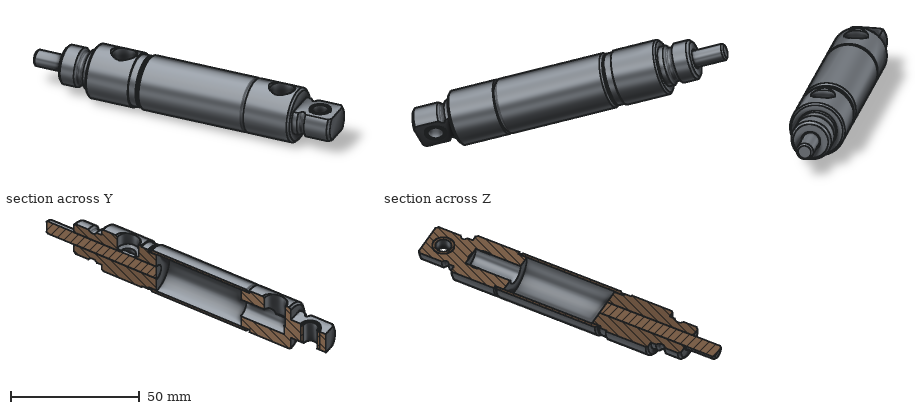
import cadquery as cq
OVERALL_LENGTH = 127.8
BODY_DIAMETER = 21.9
BODY_RADIUS = BODY_DIAMETER / 2

ROD_RADIUS = 3.3
ROD_CHAMFER = 0.8

NECK_RADIUS = 7.9
NECK_CHAMFER = 1.0
GROOVE_DEPTH = 1.2
GROOVE_WALL_RUN = 1.0
GROOVE_FLOOR_FILLET = 0.8
SPIGOT_LENGTH = 3.8

NECK_START = 12.5
NECK_GROOVE_CENTER = 21.2
NECK_GROOVE_WIDTH = 3.8
ROD_COUNTERSINK = 0.5
HEAD_START = 25.3
HEAD_CHAMFER = 0.8
LAND_START = 43.6
LAND_RADIUS = 10.4
HEAD_END = 46.7

TUBE_BORE_RADIUS = 9.5
LIP_FACE_RADIUS = 9.6
LIP_STEP_RADIUS = 10.1
LIP_STEP_LENGTH = 0.6
LIP_LAND_LENGTH = 0.3
REAR_LIP_CHAMFER = BODY_RADIUS - LIP_FACE_RADIUS
REAR_LIP_FILLET = 0.5

CAP_START = 92.8
CAP_END = 112.0
CAP_CHAMFER = 0.9
CAP_BORE_RADIUS = 4.2
TANG_THICKNESS = 9.7
TANG_GROOVE_CENTER = 115.7
TANG_GROOVE_WIDTH = 3.1

HEAD_PORT_X = 37.3
CAP_PORT_X = 104.4
PORT_RADIUS = 4.7
PORT_COUNTERSINK_RADIUS = 5.4
HEAD_PORT_FLOOR = 4.6
HEAD_PORT_CONE_HEIGHT = 0.9
HEAD_PORT_PASSAGE_RADIUS = 3.2

PIVOT_X = 120.7
BUSHING_RADIUS = 4.2
BUSHING_BORE_RADIUS = 3.1
BUSHING_CHAMFER = 0.5


def turned(points):
    """Turn a closed outline of (x, radius) points around the X axis."""
    return cq.Workplane("XY").polyline(points).close().revolve(360, (0, 0, 0), (1, 0, 0))


def axial_cylinder(radius, start, end):
    """Cylinder on the X axis between two stations."""
    return cq.Workplane("YZ", origin=(start, 0, 0)).circle(radius).extrude(end - start)


def vertical_cylinder(x, radius, low_z, high_z):
    """Upright cylinder whose axis crosses the X axis at x."""
    return cq.Workplane("XY", origin=(x, 0, low_z)).circle(radius).extrude(high_z - low_z)


def vertical_cone(x, low_z, low_radius, high_z, high_radius):
    """Upright cone frustum whose axis crosses the X axis at x."""
    cone = cq.Solid.makeCone(low_radius, high_radius, high_z - low_z, cq.Vector(x, 0, low_z))
    return cq.Workplane(obj=cone)


def groove_cutter(center, width):
    """Ring that cuts a groove with sloping walls and a filleted floor into the neck diameter."""
    floor_radius = NECK_RADIUS - GROOVE_DEPTH
    half_width = width / 2
    half_floor = half_width - GROOVE_WALL_RUN
    ring = turned([
        (center - half_width, NECK_RADIUS),
        (center - half_floor, floor_radius),
        (center + half_floor, floor_radius),
        (center + half_width, NECK_RADIUS),
    ])
    return ring.edges(cq.selectors.RadiusNthSelector(0)).fillet(GROOVE_FLOOR_FILLET)


def port_cutter(x, bottom_z):
    """Straight port with a 45 degree countersink, open at the top of the barrel."""
    countersink = PORT_COUNTERSINK_RADIUS - PORT_RADIUS
    bore = vertical_cylinder(x, PORT_RADIUS, bottom_z, BODY_RADIUS)
    mouth = vertical_cone(x, BODY_RADIUS - countersink, PORT_RADIUS, BODY_RADIUS, PORT_COUNTERSINK_RADIUS)
    return bore.union(mouth)


def make_rod():
    rod = axial_cylinder(ROD_RADIUS, 0, HEAD_END + SPIGOT_LENGTH)
    return rod.faces("<X").chamfer(ROD_CHAMFER)


def make_head():
    spigot_end = HEAD_END + SPIGOT_LENGTH
    head = turned([
        (NECK_START, ROD_RADIUS + ROD_COUNTERSINK),
        (NECK_START, NECK_RADIUS - NECK_CHAMFER),
        (NECK_START + NECK_CHAMFER, NECK_RADIUS),
        (HEAD_START, NECK_RADIUS),
        (HEAD_START, BODY_RADIUS - HEAD_CHAMFER),
        (HEAD_START + HEAD_CHAMFER, BODY_RADIUS),
        (LAND_START, BODY_RADIUS),
        (LAND_START, LAND_RADIUS),
        (HEAD_END, LAND_RADIUS),
        (HEAD_END, TUBE_BORE_RADIUS),
        (spigot_end, TUBE_BORE_RADIUS),
        (spigot_end, ROD_RADIUS),
        (NECK_START + ROD_COUNTERSINK, ROD_RADIUS),
    ])
    head = head.cut(groove_cutter(NECK_GROOVE_CENTER, NECK_GROOVE_WIDTH))

    cone_bottom = HEAD_PORT_FLOOR - HEAD_PORT_CONE_HEIGHT
    cone = vertical_cone(HEAD_PORT_X, cone_bottom, HEAD_PORT_PASSAGE_RADIUS, HEAD_PORT_FLOOR, PORT_RADIUS)
    passage = vertical_cylinder(HEAD_PORT_X, HEAD_PORT_PASSAGE_RADIUS, 0, cone_bottom)
    return head.cut(port_cutter(HEAD_PORT_X, HEAD_PORT_FLOOR)).cut(cone).cut(passage)


def make_tube():
    step_end = HEAD_END + LIP_STEP_LENGTH
    land_end = step_end + LIP_LAND_LENGTH
    rear_chamfer_start = CAP_START - REAR_LIP_CHAMFER
    tube = turned([
        (HEAD_END, TUBE_BORE_RADIUS),
        (HEAD_END, LIP_FACE_RADIUS),
        (step_end, LIP_STEP_RADIUS),
        (land_end, LIP_STEP_RADIUS),
        (land_end + BODY_RADIUS - LIP_STEP_RADIUS, BODY_RADIUS),
        (rear_chamfer_start, BODY_RADIUS),
        (CAP_START, LIP_FACE_RADIUS),
        (CAP_START, TUBE_BORE_RADIUS),
    ])
    chamfer_edge = cq.selectors.NearestToPointSelector((rear_chamfer_start, 0, 0))
    return tube.edges(chamfer_edge).fillet(REAR_LIP_FILLET)


def make_rear_cap():
    barrel = turned([
        (CAP_START - SPIGOT_LENGTH, 0),
        (CAP_START - SPIGOT_LENGTH, TUBE_BORE_RADIUS),
        (CAP_START, TUBE_BORE_RADIUS),
        (CAP_START, BODY_RADIUS),
        (CAP_END - CAP_CHAMFER, BODY_RADIUS),
        (CAP_END, BODY_RADIUS - CAP_CHAMFER),
        (CAP_END, 0),
    ])
    tang = turned([
        (CAP_END, 0),
        (CAP_END, NECK_RADIUS),
        (OVERALL_LENGTH - NECK_CHAMFER, NECK_RADIUS),
        (OVERALL_LENGTH, NECK_RADIUS - NECK_CHAMFER),
        (OVERALL_LENGTH, 0),
    ])
    tang = tang.cut(groove_cutter(TANG_GROOVE_CENTER, TANG_GROOVE_WIDTH))
    flats = cq.Workplane("XY").box(
        OVERALL_LENGTH, 2 * NECK_RADIUS, TANG_THICKNESS, centered=(False, True, True)
    )
    cap = barrel.union(tang.intersect(flats))
    bore = axial_cylinder(CAP_BORE_RADIUS, CAP_START - SPIGOT_LENGTH, CAP_PORT_X + CAP_BORE_RADIUS)
    pivot_hole = vertical_cylinder(PIVOT_X, BUSHING_RADIUS, -TANG_THICKNESS / 2, TANG_THICKNESS / 2)
    return cap.cut(bore).cut(port_cutter(CAP_PORT_X, 0)).cut(pivot_hole)


def make_bushing():
    sleeve = vertical_cylinder(PIVOT_X, BUSHING_RADIUS, -TANG_THICKNESS / 2, TANG_THICKNESS / 2)
    sleeve = sleeve.faces("<Z or >Z").chamfer(BUSHING_CHAMFER)
    return sleeve.faces(">Z").workplane().hole(2 * BUSHING_BORE_RADIUS)


rod = make_rod()
head = make_head()
tube = make_tube()
rear_cap = make_rear_cap()
bushing = make_bushing()

result = cq.Compound.makeCompound([rod.val(), head.val(), tube.val(), rear_cap.val(), bushing.val()])